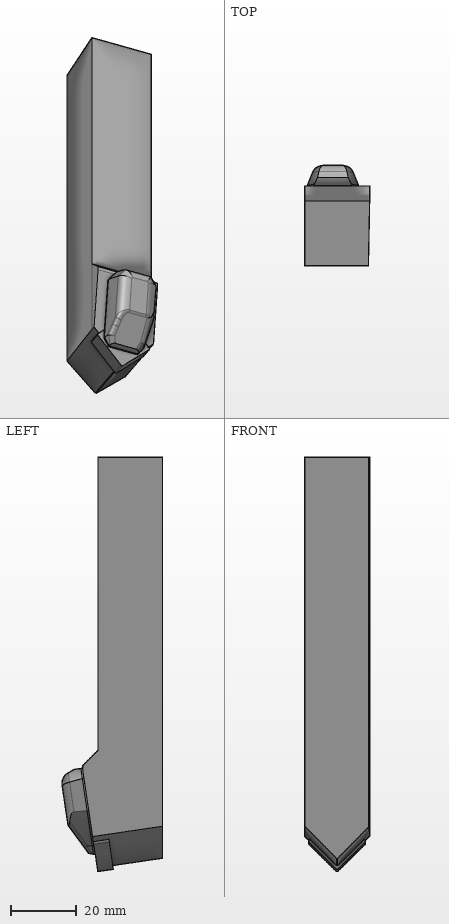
import cadquery as cq
import math

length = 126.4
shank_depth = 19.7
narrow_width = 19.5
full_width = 19.8
head_depth = 24.4
shoulder_low_z = 32.3
shoulder_high_z = shoulder_low_z + head_depth - shank_depth
seat_top_z = 31.2
seat_tilt = 8.4
seat_slope = math.tan(math.radians(seat_tilt))

nose_x = 9.9
nose_angle = 45
nose_z = 4.0
nose_flat = 0.4

insert_side = 12.5
insert_thickness = 4.8
insert_corner_radius = 0.4
insert_center_drop = 22.9

clamp_left = 0.8
clamp_right = 16.4
clamp_height = 7.0
clamp_skirt = 0.5
clamp_draft = 21.0
clamp_round = 3.8
clamp_ramp_round = 1.9
clamp_top_corner = 2.8
clamp_bend_drop = 12.6
clamp_side_inset = 2.5
clamp_side_end = 23.5
clamp_tip_drop = 26.2
clamp_tip_left = 5.0
clamp_ramp_start = 16.2
clamp_ramp_end = 23.1
clamp_ramp_height = 3.3
clamp_end_lean = 1.1
clamp_overhang = 0.4

seat = cq.Plane(
    origin=(0, head_depth, seat_top_z),
    xDir=(-1, 0, 0),
    normal=(0, 1, -seat_slope),
)


def make_shank():
    bottom_depth = head_depth - seat_top_z * seat_slope
    side = [
        (0, 0),
        (bottom_depth, 0),
        (head_depth, seat_top_z),
        (head_depth, shoulder_low_z),
        (shank_depth, shoulder_high_z),
        (shank_depth, length),
        (0, length),
    ]
    blank = cq.Workplane("YZ").polyline(side).close().extrude(full_width)
    plan = [(0, 0), (narrow_width, 0), (full_width, shank_depth), (full_width, head_depth), (0, head_depth)]
    envelope = cq.Workplane("XY").polyline(plan).close().extrude(length)
    return blank.intersect(envelope)


def cut_nose(shank):
    """Remove the material below the V, which runs square to the seat face."""
    half_flat = nose_flat / 2
    reach = full_width
    rise = reach / math.tan(math.radians(nose_angle))
    below = -length
    outline = [
        (nose_x - half_flat - reach, nose_z + rise),
        (nose_x - half_flat, nose_z),
        (nose_x + half_flat, nose_z),
        (nose_x + half_flat + reach, nose_z + rise),
        (nose_x + half_flat + reach, below),
        (nose_x - half_flat - reach, below),
    ]
    nose_plane = cq.Plane(origin=(0, 0, 0), xDir=(1, 0, 0), normal=(0, -1, seat_slope))
    cutter = cq.Workplane(nose_plane).polyline(outline).close().extrude(2 * head_depth, both=True)
    return shank.cut(cutter)


def drafted_block(plan):
    """Short straight skirt with drafted walls above it, standing on the seat face."""
    points = [(-x, -drop) for x, drop in plan]
    skirt = cq.Workplane(seat).polyline(points).close().extrude(clamp_skirt)
    wall = cq.Workplane(seat).workplane(offset=clamp_skirt).polyline(points).close()
    return skirt.union(wall.extrude(clamp_height - clamp_skirt, taper=clamp_draft))


def make_clamp():
    end_drop = -clamp_end_lean
    bevel_left = clamp_left + clamp_top_corner
    bevel_right = clamp_right - clamp_top_corner
    far_drop = 2 * clamp_tip_drop
    body = drafted_block([
        (clamp_left, clamp_top_corner),
        (bevel_left, end_drop),
        (bevel_right, end_drop),
        (clamp_right, clamp_top_corner),
        (clamp_right, far_drop),
        (clamp_left, far_drop),
    ])
    back = cq.selectors.DirectionMinMaxSelector(seat.zDir, True)
    body = body.faces(back).edges().fillet(clamp_round)

    tip_right = 2 * nose_x - clamp_tip_left
    side_reach = clamp_bend_drop * clamp_side_inset / (clamp_side_end - clamp_bend_drop)
    taper_left = clamp_left - side_reach
    taper_right = clamp_right + side_reach
    nose = drafted_block([
        (taper_left, -clamp_bend_drop),
        (taper_left, 0),
        (clamp_left + clamp_side_inset, clamp_side_end),
        (clamp_tip_left, clamp_tip_drop),
        (tip_right, clamp_tip_drop),
        (clamp_right, clamp_side_end),
        (taper_right, 0),
        (taper_right, -clamp_bend_drop),
    ])

    ramp_slope = (clamp_height - clamp_ramp_height) / (clamp_ramp_end - clamp_ramp_start)
    ramp_foot = clamp_ramp_start + clamp_height / ramp_slope
    profile = [
        (clamp_overhang, 0),
        (clamp_overhang, clamp_height),
        (-clamp_ramp_start, clamp_height),
        (-ramp_foot, 0),
    ]
    profile_plane = cq.Plane(origin=seat.origin, xDir=seat.yDir, normal=(-1, 0, 0))
    limit = cq.Workplane(profile_plane).polyline(profile).close().extrude(-full_width)
    body = body.intersect(nose).intersect(limit)

    ramp_normal = seat.zDir * (ramp_foot - clamp_ramp_start) - seat.yDir * clamp_height
    ramp = body.faces(cq.selectors.DirectionMinMaxSelector(ramp_normal, True))
    sides = ramp.edges("not |X")
    return sides.fillet(clamp_ramp_round)


def make_insert():
    return (
        cq.Workplane(seat)
        .center(-nose_x, -insert_center_drop)
        .transformed(rotate=(0, 0, nose_angle))
        .rect(insert_side, insert_side)
        .extrude(-insert_thickness)
        .edges(cq.selectors.ParallelDirSelector(seat.zDir))
        .fillet(insert_corner_radius)
    )


insert = make_insert()
holder = cut_nose(make_shank()).union(make_clamp()).cut(insert)

result = cq.Compound.makeCompound([holder.val(), insert.val()])